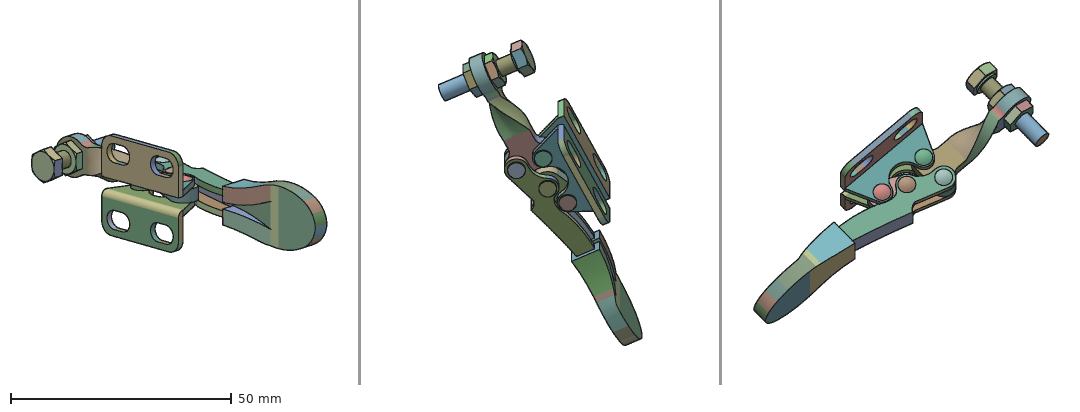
import cadquery as cq
import math


SELECT_MARGIN = 0.1

ARM_BASE_PIVOT = (-6.5, 7.9)
LINK_BASE_PIVOT = (6.25, 7.9)
ARM_LEVER_PIVOT = (-6.5, 14.6)
LINK_LEVER_PIVOT = (0.9, 10.3)
PIN_RADIUS = 2.0
PIN_DOME_HEIGHT = 0.7
PIN_FLAT_HEIGHT = 0.5

CORE_THICKNESS = 3.25
BASE_PLATE_THICKNESS = 1.55
CORE_HALF = CORE_THICKNESS / 2
BASE_OUTER_HALF = CORE_HALF + BASE_PLATE_THICKNESS
LEVER_INNER_HALF = 1.8
LEVER_OUTER_HALF = 3.3

BASE_SIZE = 23.8
BASE_HALF = BASE_SIZE / 2
BASE_CORNER_RADIUS = 3.0
POST_RADIUS = 2.4
SADDLE_RADIUS = 4.1
SLOT_LENGTH = 7.0
SLOT_WIDTH = 4.55
SLOT_X = 6.7
SLOT_Z = 7.95

ARM_MID_Y = 11.1
ARM_WIDTH = 6.6
ARM_BOSS_RADIUS = 2.8
ARM_BOSS_FILLET = 2.4
TWIST_START_X = -25.1
TWIST_END_X = -13.55
EYE_RADIUS = 4.8
EYE_FILLET = 2.6

ARM_END_X = -34.9
BOLT_X = ARM_END_X + EYE_RADIUS
BOLT_RADIUS = 2.0
BOLT_TIP_Y = 21.8
HEX_ACROSS_FLATS = 7.0
HEX_TURN = 30
HEX_ACROSS_CORNERS = HEX_ACROSS_FLATS / math.cos(math.radians(HEX_TURN))
HEX_CHAMFER_ANGLE = 30
HEAD_HEIGHT = 2.8
NUT_HEIGHT = 2.2
COLLAR_RADIUS = 2.9
COLLAR_HEIGHT = 0.5

GRIP_START_X = 19.65
LEVER_BOSS_RADIUS = 2.8
LEVER_BOSS_END_ANGLE = 73
LEVER_LOBE_RADIUS = 2.5
LEVER_LOBE_START_ANGLE = -149
LEVER_LOBE_END_ANGLE = -24
LEVER_THROAT_START_X = -5.5
LEVER_THROAT_MIDDLE = (-3.25, 11.2)
LEVER_THROAT_END = (-1.6, 9.6)
LEVER_HOLLOW_MIDDLE = (4.0, 10.15)
LEVER_CREST_START = (5.1, 10.6)
LEVER_CREST_MIDDLE = (7.3, 10.3)
LEVER_CREST_END = (9.0, 9.5)
LEVER_BOTTOM_MIDDLE = (13.8, 8.2)
LEVER_STEP_FOOT = (2.4, 14.7)
LEVER_STEP_MIDDLE = (3.4, 15.0)
LEVER_STEP = (4.4, 16.2)
LEVER_TOP_MIDDLE = (12.0, 14.05)
LEVER_TOP_END_Y = 12.2
LEVER_BOTTOM_END_Y = 7.6
LEVER_TAIL_X = 18.6
WEB_THICKNESS = 1.55
WEB_END_SLANT = 0.5
WEB_TAIL_RISE = 0.2

GRIP_END_X = 46.3
GRIP_FLAT_BOTTOM_Y = 8.6
GRIP_BREAK_Y = 8.5
GRIP_FLAT_TOP_Y = 12.5
GRIP_FLAT_START_X = 32.55
GRIP_FRONT_BOTTOM_Y = 6.4
GRIP_FRONT_TOP_Y = 13.5
GRIP_LIP_LENGTH = 0.5
GRIP_NECK_HALF = 4.6
GRIP_WIDE_HALF = 7.5
GRIP_WIDE_X = 35.0
GRIP_FLANK_MIDDLE = (24.7, 5.2)
GRIP_FLANK_START = (29.2, 6.4)
GRIP_FLANK_END = (30.7, 6.9)
GRIP_SHOULDER = (39.2, 6.9)
GRIP_NOSE_START = (42.6, 5.5)
GRIP_NOSE_MIDDLE = (45.3, 3.0)
GROOVE_NARROW_HALF = 0.8
GROOVE_WIDE_HALF = 3.3
GROOVE_FLOOR_START_Y = 9.9

LINK_RADIUS = 3.3


def on_circle(center, radius, degrees):
    """Point on a circle at an angle measured from +X."""
    angle = math.radians(degrees)
    return (center[0] + radius * math.cos(angle), center[1] + radius * math.sin(angle))


def plate(z_low, z_high):
    """XY workplane for an outline, and the extrusion length between two Z levels."""
    return cq.Workplane("XY", origin=(0, 0, z_low)), z_high - z_low


def disc(center, radius, z_low, z_high):
    plane, length = plate(z_low, z_high)
    return plane.center(*center).circle(radius).extrude(length)


def rivet(center, seat_half):
    """Pin through plates with outer faces at Z = +-seat_half: domed head on +Z, flat head on -Z."""
    top = seat_half + PIN_DOME_HEIGHT
    sphere_radius = (PIN_RADIUS**2 + PIN_DOME_HEIGHT**2) / (2 * PIN_DOME_HEIGHT)
    sphere = cq.Workplane("XY").sphere(sphere_radius).translate((*center, top - sphere_radius))
    head = sphere.intersect(disc(center, PIN_RADIUS, seat_half, top))
    return disc(center, PIN_RADIUS, -seat_half - PIN_FLAT_HEIGHT, seat_half).union(head)


def pin_hole(center):
    return disc(center, PIN_RADIUS, -CORE_HALF, CORE_HALF)


def base_flange():
    """Mounting flange on the +Z side, with two slots and rounded outer corners."""
    depth = BASE_HALF - CORE_HALF
    flange = cq.Workplane("XY").box(BASE_SIZE, BASE_PLATE_THICKNESS, depth, centered=(True, False, False))
    flange = flange.translate((0, 0, CORE_HALF)).edges("|Y and >Z").fillet(BASE_CORNER_RADIUS)
    slots = (
        cq.Workplane("XZ")
        .pushPoints([(-SLOT_X, SLOT_Z), (SLOT_X, SLOT_Z)])
        .slot2D(SLOT_LENGTH, SLOT_WIDTH)
        .extrude(-BASE_PLATE_THICKNESS)
    )
    return flange.cut(slots)


def tangent_angle(corner, center, radius, side):
    """Angle at which the line from a corner touches a circle; side is +1 or -1."""
    dx = corner[0] - center[0]
    dy = corner[1] - center[1]
    opening = math.acos(radius / math.hypot(dx, dy))
    return math.degrees(math.atan2(dy, dx) + side * opening)


def base_cheek():
    """Upright plate on the +Z side: two rounded pivot posts with a round saddle between them."""
    left_foot = (-BASE_HALF, BASE_PLATE_THICKNESS)
    right_foot = (BASE_HALF, BASE_PLATE_THICKNESS)
    left_touch = tangent_angle(left_foot, ARM_BASE_PIVOT, POST_RADIUS, -1) % 360
    right_touch = tangent_angle(right_foot, LINK_BASE_PIVOT, POST_RADIUS, 1)
    half_span = (LINK_BASE_PIVOT[0] - ARM_BASE_PIVOT[0]) / 2
    saddle_rise = math.sqrt((POST_RADIUS + SADDLE_RADIUS) ** 2 - half_span**2)
    saddle_center = (ARM_BASE_PIVOT[0] + half_span, ARM_BASE_PIVOT[1] + saddle_rise)
    lean = math.degrees(math.atan2(saddle_rise, half_span))
    plane, length = plate(CORE_HALF, BASE_OUTER_HALF)
    return (
        plane.moveTo(-BASE_HALF, 0)
        .lineTo(*left_foot)
        .lineTo(*on_circle(ARM_BASE_PIVOT, POST_RADIUS, left_touch))
        .threePointArc(
            on_circle(ARM_BASE_PIVOT, POST_RADIUS, (left_touch + lean) / 2),
            on_circle(ARM_BASE_PIVOT, POST_RADIUS, lean),
        )
        .threePointArc(
            on_circle(saddle_center, SADDLE_RADIUS, -90),
            on_circle(LINK_BASE_PIVOT, POST_RADIUS, 180 - lean),
        )
        .threePointArc(
            on_circle(LINK_BASE_PIVOT, POST_RADIUS, (180 - lean + right_touch) / 2),
            on_circle(LINK_BASE_PIVOT, POST_RADIUS, right_touch),
        )
        .lineTo(*right_foot)
        .lineTo(BASE_HALF, 0)
        .close()
        .extrude(length)
    )


def make_base():
    upper = base_flange().union(base_cheek())
    lower = upper.mirror("XY")
    bend = cq.selectors.BoxSelector(
        (-SELECT_MARGIN, -SELECT_MARGIN, -CORE_HALF - SELECT_MARGIN),
        (SELECT_MARGIN, SELECT_MARGIN, -CORE_HALF + SELECT_MARGIN),
    )
    lower = lower.edges(bend).fillet(BASE_PLATE_THICKNESS)
    base = upper.union(lower)
    for pivot in (ARM_BASE_PIVOT, LINK_BASE_PIVOT):
        base = base.union(rivet(pivot, BASE_OUTER_HALF))
    return base


def arm_eye():
    """Flat eye around the bolt, lying across the clamp, with a filleted neck up to the twist."""
    bottom_y = ARM_MID_Y - CORE_HALF
    plane = cq.Workplane("XZ", origin=(0, bottom_y, 0))
    eye = plane.center(BOLT_X, 0).circle(EYE_RADIUS).extrude(-CORE_THICKNESS)
    neck_length = TWIST_START_X - BOLT_X
    neck = plane.center(BOLT_X + neck_length / 2, 0).rect(neck_length, ARM_WIDTH).extrude(-CORE_THICKNESS)
    corner_x = BOLT_X + math.sqrt(EYE_RADIUS**2 - (ARM_WIDTH / 2) ** 2)
    corners = cq.selectors.BoxSelector(
        (corner_x - SELECT_MARGIN, bottom_y, -ARM_WIDTH),
        (corner_x + SELECT_MARGIN, bottom_y + CORE_THICKNESS, ARM_WIDTH),
    )
    return eye.union(neck).edges(corners).fillet(EYE_FILLET)


def arm_twist():
    """Quarter turn that brings the flat strip from across the clamp to upright."""
    return (
        cq.Workplane("YZ", origin=(TWIST_START_X, ARM_MID_Y, 0))
        .rect(CORE_THICKNESS, ARM_WIDTH)
        .twistExtrude(TWIST_END_X - TWIST_START_X, -90)
    )


def arm_plate():
    """Upright end of the arm with a boss round each of its two pivots."""
    plane, length = plate(-CORE_HALF, CORE_HALF)
    boss_x = ARM_BASE_PIVOT[0]
    strip_length = boss_x - TWIST_END_X
    body = plane.center(boss_x - strip_length / 2, ARM_MID_Y).rect(strip_length, ARM_WIDTH).extrude(length)
    pivot_gap = ARM_LEVER_PIVOT[1] - ARM_BASE_PIVOT[1]
    block = plane.center(boss_x + ARM_BOSS_RADIUS / 2, ARM_BASE_PIVOT[1] + pivot_gap / 2)
    body = body.union(block.rect(ARM_BOSS_RADIUS, pivot_gap).extrude(length))
    for pivot in (ARM_BASE_PIVOT, ARM_LEVER_PIVOT):
        body = body.union(disc(pivot, ARM_BOSS_RADIUS, -CORE_HALF, CORE_HALF))
    corner_x = boss_x - ARM_BOSS_RADIUS
    corners = cq.selectors.BoxSelector(
        (corner_x - SELECT_MARGIN, ARM_MID_Y - ARM_WIDTH, -CORE_HALF),
        (corner_x + SELECT_MARGIN, ARM_MID_Y + ARM_WIDTH, CORE_HALF),
    )
    return body.edges(corners).fillet(ARM_BOSS_FILLET)


def hexagon(bottom_y, height):
    """Hexagonal prism on the bolt axis with its corners chamfered on the lower face."""
    corner_radius = HEX_ACROSS_CORNERS / 2
    flat_radius = HEX_ACROSS_FLATS / 2
    drop = (corner_radius - flat_radius) * math.tan(math.radians(HEX_CHAMFER_ANGLE))
    prism = cq.Workplane("XZ").polygon(6, HEX_ACROSS_CORNERS).extrude(-height)
    prism = prism.rotate((0, 0, 0), (0, 1, 0), HEX_TURN)
    envelope = (
        cq.Workplane("XY")
        .polyline([(0, 0), (flat_radius, 0), (corner_radius, drop), (corner_radius, height), (0, height)])
        .close()
        .revolve(360, (0, 0, 0), (0, 1, 0))
    )
    return prism.intersect(envelope).translate((BOLT_X, bottom_y, 0))


def spindle_bolt():
    """Bolt with its head at the mounting face and a nut on each side of the arm's eye."""
    shank = cq.Workplane("XZ").center(BOLT_X, 0).circle(BOLT_RADIUS).extrude(-BOLT_TIP_Y)
    collar = cq.Workplane("XZ").center(BOLT_X, 0).circle(COLLAR_RADIUS).extrude(-HEAD_HEIGHT - COLLAR_HEIGHT)
    lower_nut = hexagon(ARM_MID_Y - CORE_HALF - NUT_HEIGHT, NUT_HEIGHT)
    upper_nut = cq.Workplane("XZ").polygon(6, HEX_ACROSS_CORNERS).extrude(-NUT_HEIGHT)
    upper_nut = upper_nut.rotate((0, 0, 0), (0, 1, 0), HEX_TURN).translate((BOLT_X, ARM_MID_Y + CORE_HALF, 0))
    return shank.union(collar).union(hexagon(0, HEAD_HEIGHT)).union(lower_nut).union(upper_nut)


def make_arm():
    arm = arm_eye().union(arm_twist()).union(arm_plate()).union(spindle_bolt())
    for pivot in (ARM_BASE_PIVOT, ARM_LEVER_PIVOT):
        arm = arm.cut(pin_hole(pivot))
    return arm


def lever_cheek():
    """Side plate on +Z: pivot boss, stepped back, and a lobe round the link's pivot."""
    boss = ARM_LEVER_PIVOT
    lobe = LINK_LEVER_PIVOT
    plane, length = plate(LEVER_INNER_HALF, LEVER_OUTER_HALF)
    return (
        plane.moveTo(*on_circle(boss, LEVER_BOSS_RADIUS, -90))
        .threePointArc(
            on_circle(boss, LEVER_BOSS_RADIUS, 180),
            on_circle(boss, LEVER_BOSS_RADIUS, LEVER_BOSS_END_ANGLE),
        )
        .lineTo(*LEVER_STEP_FOOT)
        .threePointArc(LEVER_STEP_MIDDLE, LEVER_STEP)
        .threePointArc(LEVER_TOP_MIDDLE, (GRIP_START_X, LEVER_TOP_END_Y))
        .lineTo(GRIP_START_X, LEVER_BOTTOM_END_Y)
        .lineTo(LEVER_TAIL_X, LEVER_BOTTOM_END_Y)
        .threePointArc(LEVER_BOTTOM_MIDDLE, LEVER_CREST_END)
        .threePointArc(LEVER_CREST_MIDDLE, LEVER_CREST_START)
        .threePointArc(LEVER_HOLLOW_MIDDLE, on_circle(lobe, LEVER_LOBE_RADIUS, LEVER_LOBE_END_ANGLE))
        .threePointArc(
            on_circle(lobe, LEVER_LOBE_RADIUS, -90),
            on_circle(lobe, LEVER_LOBE_RADIUS, LEVER_LOBE_START_ANGLE),
        )
        .lineTo(*LEVER_THROAT_END)
        .threePointArc(LEVER_THROAT_MIDDLE, (LEVER_THROAT_START_X, boss[1] - LEVER_BOSS_RADIUS))
        .close()
        .extrude(length)
    )


def lever_channel():
    """Two cheeks joined along their upper edges, from the step to the grip, by a web."""
    plane, length = plate(-LEVER_INNER_HALF, LEVER_INNER_HALF)
    web_end = (LEVER_STEP[0] - WEB_END_SLANT, LEVER_STEP[1] - WEB_THICKNESS)
    web = (
        plane.moveTo(*LEVER_STEP)
        .threePointArc(LEVER_TOP_MIDDLE, (GRIP_START_X, LEVER_TOP_END_Y))
        .lineTo(GRIP_START_X, LEVER_TOP_END_Y - WEB_THICKNESS)
        .lineTo(LEVER_TAIL_X, LEVER_TOP_END_Y - WEB_THICKNESS + WEB_TAIL_RISE)
        .threePointArc((LEVER_TOP_MIDDLE[0], LEVER_TOP_MIDDLE[1] - WEB_THICKNESS), web_end)
        .close()
        .extrude(length)
    )
    cheek = lever_cheek()
    return web.union(cheek).union(cheek.mirror("XY"))


def grip_body():
    """Grip: its side profile and its spoon-shaped outline, each extruded and intersected."""
    lip_end = GRIP_START_X + GRIP_LIP_LENGTH
    profile = (
        cq.Workplane("XY", origin=(0, 0, -BASE_HALF))
        .moveTo(GRIP_START_X, GRIP_FRONT_BOTTOM_Y)
        .lineTo(lip_end, GRIP_FRONT_BOTTOM_Y)
        .tangentArcPoint((GRIP_FLAT_START_X, GRIP_BREAK_Y), relative=False)
        .lineTo(GRIP_WIDE_X, GRIP_FLAT_BOTTOM_Y)
        .lineTo(GRIP_END_X, GRIP_FLAT_BOTTOM_Y)
        .lineTo(GRIP_END_X, GRIP_FLAT_TOP_Y)
        .lineTo(GRIP_FLAT_START_X, GRIP_FLAT_TOP_Y)
        .tangentArcPoint((GRIP_START_X, GRIP_FRONT_TOP_Y), relative=False)
        .close()
        .extrude(BASE_SIZE)
    )
    half_outline = (
        cq.Workplane("XZ")
        .moveTo(GRIP_START_X, 0)
        .lineTo(GRIP_START_X, GRIP_NECK_HALF)
        .threePointArc(GRIP_FLANK_MIDDLE, GRIP_FLANK_START)
        .lineTo(*GRIP_FLANK_END)
        .threePointArc((GRIP_WIDE_X, GRIP_WIDE_HALF), GRIP_SHOULDER)
        .tangentArcPoint(GRIP_NOSE_START, relative=False)
        .tangentArcPoint(GRIP_NOSE_MIDDLE, relative=False)
        .tangentArcPoint((GRIP_END_X, 0), relative=False)
        .close()
        .extrude(-BOLT_TIP_Y)
    )
    return profile.intersect(half_outline.union(half_outline.mirror("XY")))


def grip_groove():
    """Flared groove in the grip's lower side, fading out where the flat bottom begins."""
    half_flare = (
        cq.Workplane("XZ")
        .moveTo(GRIP_START_X, 0)
        .lineTo(GRIP_START_X, GROOVE_NARROW_HALF)
        .lineTo(GRIP_START_X + GRIP_LIP_LENGTH, GROOVE_NARROW_HALF)
        .tangentArcPoint((GRIP_FLAT_START_X, GROOVE_WIDE_HALF), relative=False)
        .lineTo(GRIP_FLAT_START_X, 0)
        .close()
        .extrude(-BOLT_TIP_Y)
    )
    below_floor = (
        cq.Workplane("XY", origin=(0, 0, -GROOVE_WIDE_HALF))
        .moveTo(GRIP_WIDE_X, GRIP_BREAK_Y)
        .lineTo(GRIP_FLAT_START_X, GRIP_BREAK_Y)
        .tangentArcPoint((GRIP_START_X, GROOVE_FLOOR_START_Y), relative=False)
        .lineTo(GRIP_START_X, 0)
        .lineTo(GRIP_WIDE_X, 0)
        .close()
        .extrude(2 * GROOVE_WIDE_HALF)
    )
    return half_flare.union(half_flare.mirror("XY")).intersect(below_floor)


def make_lever():
    lever = grip_body().cut(grip_groove()).union(lever_channel())
    for pivot in (ARM_LEVER_PIVOT, LINK_LEVER_PIVOT):
        lever = lever.union(rivet(pivot, LEVER_OUTER_HALF))
    return lever


def make_link():
    """Straight round-ended link between the lever's lobe and the base."""
    dx = LINK_BASE_PIVOT[0] - LINK_LEVER_PIVOT[0]
    dy = LINK_BASE_PIVOT[1] - LINK_LEVER_PIVOT[1]
    plane, length = plate(-CORE_HALF, CORE_HALF)
    link = (
        plane.center(LINK_LEVER_PIVOT[0] + dx / 2, LINK_LEVER_PIVOT[1] + dy / 2)
        .slot2D(math.hypot(dx, dy) + 2 * LINK_RADIUS, 2 * LINK_RADIUS, math.degrees(math.atan2(dy, dx)))
        .extrude(length)
    )
    for pivot in (LINK_LEVER_PIVOT, LINK_BASE_PIVOT):
        link = link.cut(pin_hole(pivot))
    return link


base = make_base()
arm = make_arm()
lever = make_lever()
link = make_link()

result = cq.Compound.makeCompound([body.solids().val() for body in (base, arm, lever, link)])